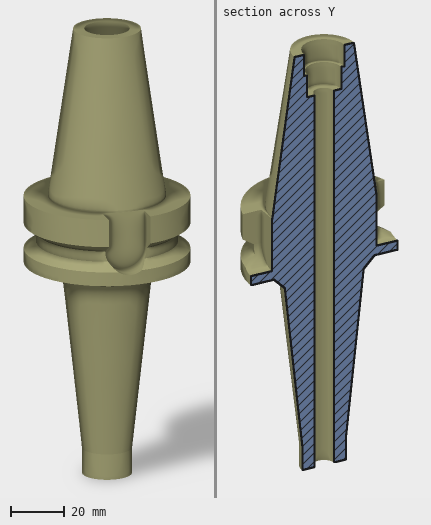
import cadquery as cq

total_height = 175.4
nose_height = 10.0
collar_bottom = 78.8
flange_bottom = 83.3
lower_rim_top = 88.8
groove_bottom = 91.5
groove_top = 95.6
upper_rim_bottom = 98.8
flange_top = 109.5
taper_bottom = 110.2

nose_radius = 9.5
body_radius = 17.0
collar_radius = 21.5
flange_radius = 63.0 / 2
groove_radius = 26.8
taper_large_radius = 22.3
taper_small_radius = 12.8

through_radius = 4.0
entry_radius = 8.6
entry_depth = 9.0
thread_radius = 7.2
thread_depth = 18.2

slot_width = 16.3
slot_bottom = 87.3
slot_floor_x = 22.5


def make_body():
    """Revolve the outer profile: nose, tapered body, grooved flange and shank taper."""
    profile = [
        (0, 0),
        (nose_radius, 0),
        (nose_radius, nose_height),
        (body_radius, collar_bottom),
        (collar_radius, flange_bottom),
        (flange_radius, flange_bottom),
        (flange_radius, lower_rim_top),
        (groove_radius, groove_bottom),
        (groove_radius, groove_top),
        (flange_radius, upper_rim_bottom),
        (flange_radius, flange_top),
        (taper_large_radius, flange_top),
        (taper_large_radius, taper_bottom),
        (taper_small_radius, total_height),
        (0, total_height),
    ]
    return cq.Workplane("XZ").polyline(profile).close().revolve(360, (0, 0), (0, 1))


def make_bore(radius, depth):
    """Cylinder going down from the small end of the taper."""
    return cq.Workplane("XY").workplane(offset=total_height - depth).circle(radius).extrude(depth)


def make_drive_slot(side):
    """Cutter for one slot: open at the flange top, half round at the bottom."""
    half_width = slot_width / 2
    arc_center_z = slot_bottom + half_width
    cutter = (
        cq.Workplane("YZ")
        .workplane(offset=slot_floor_x)
        .moveTo(-half_width, flange_top)
        .lineTo(-half_width, arc_center_z)
        .threePointArc((0, slot_bottom), (half_width, arc_center_z))
        .lineTo(half_width, flange_top)
        .close()
        .extrude(flange_radius)
    )
    return cutter if side > 0 else cutter.mirror("YZ")


result = make_body()

for bore_radius, bore_depth in (
    (entry_radius, entry_depth),
    (thread_radius, thread_depth),
    (through_radius, total_height),
):
    result = result.cut(make_bore(bore_radius, bore_depth))

for slot_side in (-1, 1):
    result = result.cut(make_drive_slot(slot_side))